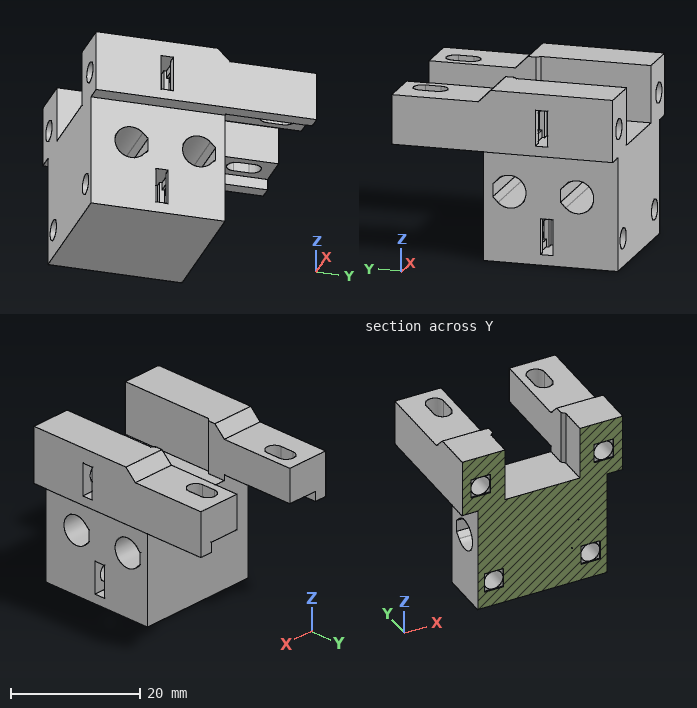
import cadquery as cq
import math

head_width = 28.0
total_length = 35.7
total_height = 28.27

body_width = 22.55
body_length = 21.7
head_height = 10.0
body_height = total_height - head_height

arm_drop = 2.0

channel_depth = 9.2
front_channel_width = 13.0
rear_channel_width = 11.85
taper_back_y = 18.35
taper_front_y = taper_back_y - (front_channel_width - rear_channel_width) / 2

slot_width = 3.0
slot_length = 5.5
slot_spacing = 17.55
slot_to_rear = 4.75

nut_width = 5.75

groove_depth = 1.8

cross_hole_diameter = 5.3
cross_hole_tip = 2.7
cross_hole_z = 11.42
cross_hole_ys = (6.55, 17.45)

screw_diameter = 3.3
screw_depth = 17.85
upper_screw_inset = 3.3
upper_screw_rise = 4.5
lower_screw_inset = 2.85
lower_screw_z = 4.6

nut_slot_thickness = 2.0
nut_slot_front_y = 10.5
step_depth = 0.4


def box(x_range, y_range, z_range):
    """Box spanning the given (low, high) range on each axis."""
    sizes = [high - low for low, high in (x_range, y_range, z_range)]
    corner = (x_range[0], y_range[0], z_range[0])
    return cq.Workplane("XY").box(*sizes, centered=False).translate(corner)


def span(center, size):
    """Range of the given size around a center."""
    return (center - size / 2, center + size / 2)


def make_head():
    """Head and arms as one side profile, swept across the full width."""
    arm_top = total_height - arm_drop
    profile = [
        (0, body_height),
        (total_length, body_height),
        (total_length, arm_top),
        (body_length, arm_top),
        (body_length - arm_drop, total_height),
        (0, total_height),
    ]
    return cq.Workplane("YZ").polyline(profile).close().extrude(head_width / 2, both=True)


def make_channel():
    """Channel through the head and arms, narrowing at 45 degrees towards the rear."""
    front_half = front_channel_width / 2
    rear_half = rear_channel_width / 2
    outline = [
        (-front_half, 0),
        (front_half, 0),
        (front_half, taper_front_y),
        (rear_half, taper_back_y),
        (rear_half, total_length),
        (-rear_half, total_length),
        (-rear_half, taper_back_y),
        (-front_half, taper_front_y),
    ]
    floor = cq.Workplane("XY").workplane(offset=total_height - channel_depth)
    return floor.polyline(outline).close().extrude(channel_depth)


def make_arm_gap():
    """Open space between the arms behind the body."""
    return box(span(0, rear_channel_width), (body_length, total_length), (body_height, total_height))


def make_mounting_slots():
    """One round-ended slot through each arm."""
    slot_y = total_length - slot_to_rear
    return (
        cq.Workplane("XY")
        .workplane(offset=body_height)
        .pushPoints([(-slot_spacing / 2, slot_y), (slot_spacing / 2, slot_y)])
        .slot2D(slot_length, slot_width, 90)
        .extrude(head_height)
    )


def make_nut_grooves():
    """Groove under each arm along its full length, breaking out at the inner face and the rear end."""
    y_range = (body_length, total_length)
    z_range = (body_height, body_height + groove_depth)
    right_groove = box(span(slot_spacing / 2, nut_width), y_range, z_range)
    return right_groove.union(right_groove.mirror("YZ"))


def make_cross_hole(y):
    """Round hole along X with two 45 degree tangents cut off by a flat on the rear side."""
    radius = cross_hole_diameter / 2
    tangent = radius * math.sqrt(0.5)
    tip_half = radius * math.sqrt(2) - cross_hole_tip
    return (
        cq.Workplane("YZ", origin=(0, y, cross_hole_z))
        .moveTo(tangent, tangent)
        .threePointArc((-radius, 0), (tangent, -tangent))
        .lineTo(cross_hole_tip, -tip_half)
        .lineTo(cross_hole_tip, tip_half)
        .close()
        .extrude(body_width / 2, both=True)
    )


def make_screw_seat(side_width, inset, z):
    """Screw hole, nut slot and stepped layers set in from the -X side face."""
    side_x = -side_width / 2
    screw_x = side_x + inset
    nut_rear_y = nut_slot_front_y + nut_slot_thickness
    strip_rear_y = nut_rear_y + step_depth
    square_rear_y = strip_rear_y + step_depth

    hole = cq.Workplane("XZ", origin=(screw_x, 0, z)).circle(screw_diameter / 2).extrude(-screw_depth)
    nut_slot = box((side_x, screw_x + nut_width / 2), (nut_slot_front_y, nut_rear_y), span(z, nut_width))
    strip = box(span(screw_x, screw_diameter), (nut_rear_y, strip_rear_y), span(z, nut_width))
    square = box(span(screw_x, screw_diameter), (strip_rear_y, square_rear_y), span(z, screw_diameter))
    return hole.union(nut_slot).union(strip).union(square)


body = box(span(0, body_width), (0, body_length), (0, body_height))
result = body.union(make_head())
result = result.cut(make_channel()).cut(make_arm_gap()).cut(make_mounting_slots()).cut(make_nut_grooves())

for hole_y in cross_hole_ys:
    result = result.cut(make_cross_hole(hole_y))

screw_seats = (
    (head_width, upper_screw_inset, body_height + upper_screw_rise),
    (body_width, lower_screw_inset, lower_screw_z),
)
for seat in screw_seats:
    left_seat = make_screw_seat(*seat)
    result = result.cut(left_seat).cut(left_seat.mirror("YZ"))